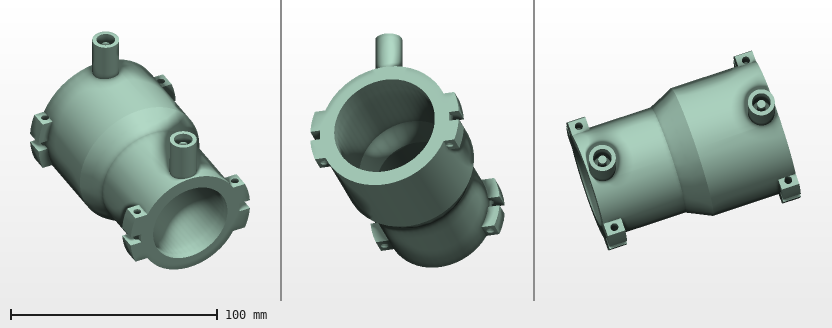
import cadquery as cq
import math

length = 96.0
cone_start = 42.9
cone_end = 55.1
large_radius = 32.5
small_radius = 26.8
large_bore_radius = 25.3
small_bore_radius = 20.3

lug_length = 8.9
lug_height = 26.3
slot_height = 4.8
large_lug_span = 74.8
small_lug_span = 65.0
bolt_radius = 1.9
large_bolt_offset = 31.6
small_bolt_offset = 26.6

post_radius = 6.5
post_top_above_tube = 18.9
post_end_distance = 7.4
well_radius = 4.5
well_depth = 15.4
pin_radius = 2.0
pin_recess = 3.1


def stepped_rod(first_radius, second_radius):
    """Solid of revolution about X: a cylinder, a cone and a second cylinder."""
    outline = [
        (0, 0),
        (0, first_radius),
        (cone_start, first_radius),
        (cone_end, second_radius),
        (length, second_radius),
        (length, 0),
    ]
    return cq.Workplane("XY").polyline(outline).close().revolve(360, (0, 0, 0), (1, 0, 0))


def lug_ring(start, span, tube_radius):
    """Lugs with round outer faces, split at mid height down to the tube surface."""
    outer_radius = math.hypot(span / 2, slot_height / 2)
    disc = cq.Workplane("YZ", origin=(start, 0, 0)).circle(outer_radius).extrude(lug_length)
    center = (start + lug_length / 2, 0, 0)
    band = cq.Workplane("XY", origin=center).box(lug_length, 2 * outer_radius, lug_height)
    slot = cq.Workplane("XY", origin=center).box(lug_length, 2 * outer_radius, slot_height)
    core = cq.Workplane("YZ", origin=(start, 0, 0)).circle(tube_radius).extrude(lug_length)
    return disc.intersect(band).cut(slot).union(core)


def bolt_holes(x, offset):
    """Vertical holes through the lugs on both sides."""
    return (
        cq.Workplane("XY", origin=(x, 0, -lug_height))
        .pushPoints([(0, -offset), (0, offset)])
        .circle(bolt_radius)
        .extrude(2 * lug_height)
    )


def upright_cylinder(x, radius, bottom, top):
    return cq.Workplane("XY", origin=(x, 0, bottom)).circle(radius).extrude(top - bottom)


ends = [
    (0, large_lug_span, large_bolt_offset, large_radius, post_end_distance),
    (length - lug_length, small_lug_span, small_bolt_offset, small_radius, length - post_end_distance),
]

body = stepped_rod(large_radius, small_radius)
for lug_start, lug_span, bolt_offset, tube_radius, post_x in ends:
    body = body.union(lug_ring(lug_start, lug_span, tube_radius))
    body = body.union(upright_cylinder(post_x, post_radius, 0, tube_radius + post_top_above_tube))

body = body.cut(stepped_rod(large_bore_radius, small_bore_radius))
for lug_start, lug_span, bolt_offset, tube_radius, post_x in ends:
    body = body.cut(bolt_holes(lug_start + lug_length / 2, bolt_offset))

for lug_start, lug_span, bolt_offset, tube_radius, post_x in ends:
    post_top = tube_radius + post_top_above_tube
    well_floor = post_top - well_depth
    body = body.cut(upright_cylinder(post_x, well_radius, well_floor, post_top))
    body = body.union(upright_cylinder(post_x, pin_radius, well_floor, post_top - pin_recess))

result = body